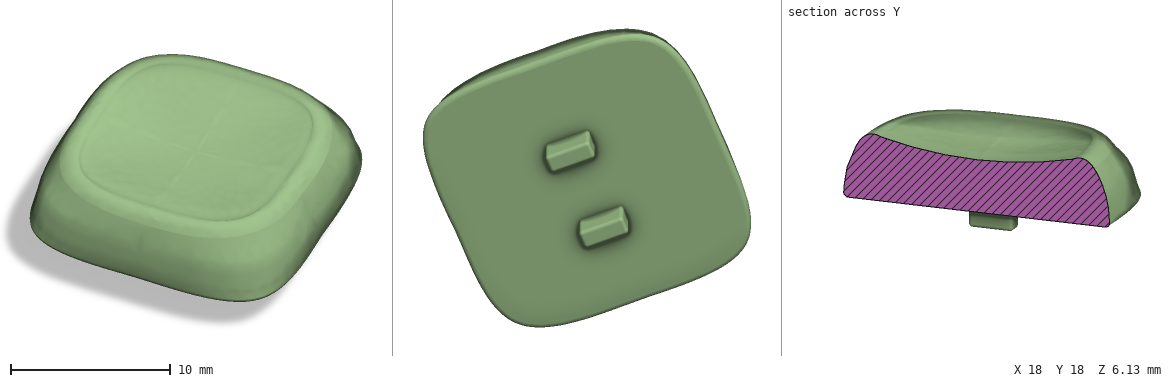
import cadquery as cq
import math


BASE_HALF_WIDTH = 8.98
BASE_SECTION = (BASE_HALF_WIDTH, 0.0, 4.2)
SIDE_SECTIONS = [
    (8.93, 0.9, 4.1),
    (8.79, 1.8, 3.9),
    (8.5, 2.7, 3.6),
    (7.89, 3.81, 3.1),
]
RIM_SECTIONS = [
    (7.5, 4.19, 3.2),
    (7.0, 4.35, 3.3),
]
DISH_EDGE_SECTION = (6.49, 4.22, 3.6)
BASE_FILLET = 0.32

DISH_DEPTH = 0.77
DISH_RING_FRACTIONS = [0.8, 0.6, 0.4, 0.2]

RIM_LINE_RADIUS = 71.88
RIM_LINE_HALF_WIDTH = 7.89
RIM_LINE_HEIGHT = 3.81

LEG_WIDTH = 2.95
LEG_THICKNESS = 1.17
LEG_LENGTH = 1.78
LEG_PITCH = 5.7
LEG_FILLET = 0.22
LEG_ROOT = 0.9

POINTS_PER_SECTION = 16


def superellipse(half_width, height, exponent):
    """Closed smooth wire around the Z axis."""
    points = []
    for i in range(POINTS_PER_SECTION):
        angle = 2 * math.pi * i / POINTS_PER_SECTION
        c = math.cos(angle)
        s = math.sin(angle)
        radius = half_width / (abs(c) ** exponent + abs(s) ** exponent) ** (1 / exponent)
        points.append(cq.Vector(radius * c, radius * s, height))
    return cq.Wire.assembleEdges([cq.Edge.makeSpline(points, periodic=True)])


def make_outer_body():
    """Cap with a flat top at the dish edge and the rim rolled over above it."""
    sections = [BASE_SECTION, *SIDE_SECTIONS, *RIM_SECTIONS, DISH_EDGE_SECTION]
    body = cq.Solid.makeLoft([superellipse(*section) for section in sections])
    return cq.Workplane(body).faces("<Z").edges().fillet(BASE_FILLET)


def make_dish():
    """Bowl filling the hollow of the top, ending in a point at its center."""
    half_width, edge_height, exponent = DISH_EDGE_SECTION
    floor_height = edge_height - DISH_DEPTH
    rings = [superellipse(*DISH_EDGE_SECTION)]
    for fraction in DISH_RING_FRACTIONS:
        height = floor_height + DISH_DEPTH * fraction**2
        rings.append(superellipse(half_width * fraction, height, exponent))
    rings.append(cq.Vertex.makeVertex(0, 0, floor_height))
    return cq.Workplane(cq.occ_impl.shapes.loft(rings, cap=True))


def make_crown_cutter():
    """Ball whose underside passes through the line between side and rim."""
    drop = math.sqrt(RIM_LINE_RADIUS**2 - RIM_LINE_HALF_WIDTH**2)
    return cq.Workplane().sphere(RIM_LINE_RADIUS).translate((0, 0, RIM_LINE_HEIGHT + drop))


def make_cap_pieces():
    """Side of the dished cap, and its rim and dish parted into four quadrants."""
    body = make_outer_body().cut(make_dish())
    ball = make_crown_cutter()
    crown = body.intersect(ball, clean=False)
    pieces = [body.cut(ball, clean=False)]
    for x_sign in (-1, 1):
        for y_sign in (-1, 1):
            corner = (x_sign * BASE_HALF_WIDTH, y_sign * BASE_HALF_WIDTH, 0)
            quadrant = cq.Workplane().box(*[2 * BASE_HALF_WIDTH] * 3).translate(corner)
            pieces.append(crown.intersect(quadrant, clean=False))
    return pieces


def make_leg():
    """Rounded leg centered on the Z axis, reaching down from inside the cap."""
    leg = cq.Workplane().box(LEG_WIDTH, LEG_THICKNESS, LEG_LENGTH + LEG_ROOT, centered=(True, True, False))
    leg = leg.edges("|Z or <Z").fillet(LEG_FILLET)
    return leg.translate((0, 0, -LEG_LENGTH))


side, *quadrants = [piece.val() for piece in make_cap_pieces()]
legs = [make_leg().translate((0, y_sign * LEG_PITCH / 2, 0)).val() for y_sign in (-1, 1)]

cap_with_legs = side.fuse(*legs).fuse(*quadrants, glue=True)
result = cq.Workplane(cap_with_legs.Solids()[0])